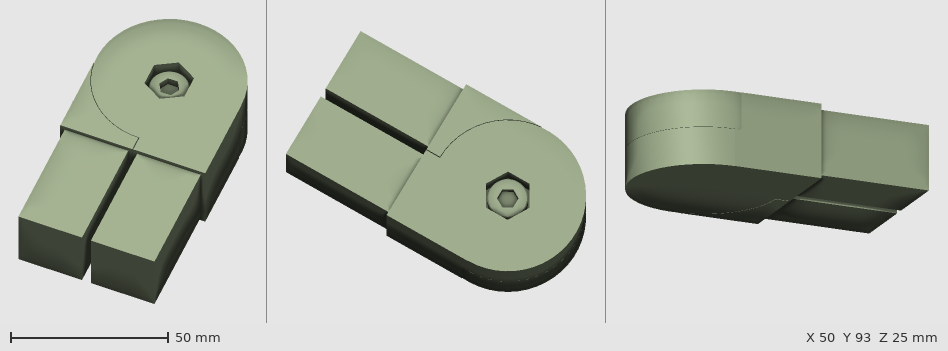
import cadquery as cq
import math

body_width = 50.0
height = 25.0
hinge_radius = 24.9
relief_radius = 25.1
total_length = 93.0
body_reach = 30.0
center_gap = 0.3
plate_gap = 0.1

plug_size = 21.95
plug_spacing = 25.0

recess_flats = 13.8
recess_depth = 8.0
head_diameter = 12.9
shank_diameter = 8.0
head_sink = 3.2
head_chamfer = 0.4
socket_flats = 5.95
socket_depth = 3.0

half_width = body_width / 2
mid_height = height / 2
top_z = mid_height
plug_length = total_length - hinge_radius - body_reach


def hexagon(flats, corner_on_y, base_z, depth):
    """Hexagonal prism on the bolt axis, with two corners on the Y or the X axis."""
    corner_diameter = flats / math.cos(math.pi / 6)
    prism = cq.Workplane("XY", origin=(0, 0, base_z)).polygon(6, corner_diameter).extrude(depth)
    return prism.rotate((0, 0, 0), (0, 0, 1), 30 if corner_on_y else 0)


def left_half():
    """Lower disc with a full-height block, relieved above for the other half's disc."""
    block_width = half_width - center_gap / 2
    block = (
        cq.Workplane("XY", origin=(-half_width, -body_reach, -mid_height))
        .box(block_width, body_reach, height, centered=False)
    )
    disc_height = mid_height - plate_gap / 2
    disc = cq.Workplane("XY", origin=(0, 0, -mid_height)).circle(hinge_radius).extrude(disc_height)
    relief_height = height - disc_height
    relief = cq.Workplane("XY", origin=(0, 0, -plate_gap / 2)).circle(relief_radius).extrude(relief_height)
    plug = (
        cq.Workplane("XZ", origin=(-plug_spacing / 2, -body_reach, 0))
        .rect(plug_size, plug_size)
        .extrude(plug_length)
    )
    return block.cut(relief).union(disc).union(plug)


def bolt():
    """Bolt with a chamfered head; the shank reaches to the middle of the lower plate."""
    head_height = recess_depth - head_sink
    head = (
        cq.Workplane("XY", origin=(0, 0, top_z - recess_depth))
        .circle(head_diameter / 2)
        .extrude(head_height)
        .faces(">Z")
        .edges()
        .chamfer(head_chamfer)
    )
    shank_length = top_z - recess_depth + mid_height / 2
    shank = (
        cq.Workplane("XY", origin=(0, 0, -mid_height / 2))
        .circle(shank_diameter / 2)
        .extrude(shank_length)
    )
    socket_base = top_z - head_sink - socket_depth
    socket = hexagon(socket_flats, False, socket_base, socket_depth)
    return head.union(shank).cut(socket)


left = left_half()
right = left.rotate((0, 0, 0), (0, 1, 0), 180)
recess = hexagon(recess_flats, True, top_z - recess_depth, recess_depth)

result = left.union(right).cut(recess).union(bolt())